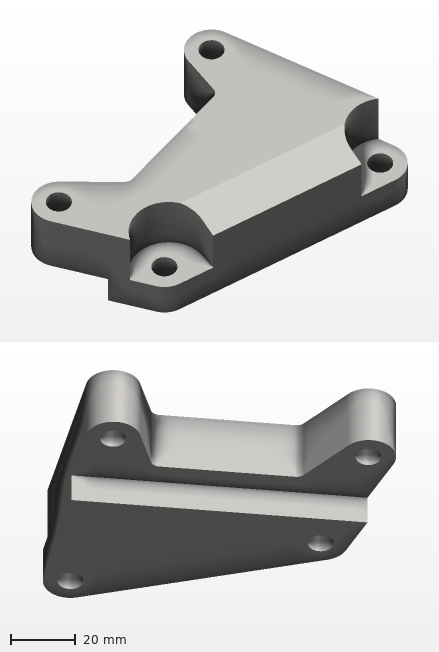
import cadquery as cq
import math

HEIGHT = 30.0
LUG_RADIUS = 8.5
HOLE_DIAMETER = 8.1
LOWER_HOLE = (0.0, 0.0)
UPPER_HOLE = (0.0, 79.9)
LEFT_HOLE = (-54.4, 53.0)
BOTTOM_HOLE = (-26.6, -21.7)

UPPER_CORNER = (-38.1, LEFT_HOLE[1] - LUG_RADIUS)
LOWER_CORNER = (-21.7, 1.2)
CORNER_FILLET = 3.0

UNDERCUT_HEIGHT = 9.7
UNDERCUT_DEPTH = 7.7

SEAT_HEIGHT = 11.6
SEAT_RADIUS = 12.5
SEAT_OFFSET = 2.5

BEVEL_START_X = -5.6
BEVEL_ANGLE = 15
MARGIN = 118.8


def direction(start, end):
    return math.atan2(end[1] - start[1], end[0] - start[0])


def on_lug(center, angle):
    """Point on a lug's rim at an angle in radians."""
    return (center[0] + LUG_RADIUS * math.cos(angle), center[1] + LUG_RADIUS * math.sin(angle))


def make_plate():
    top_normal = direction(LEFT_HOLE, UPPER_HOLE) + math.pi / 2
    bottom_normal = direction(BOTTOM_HOLE, LOWER_HOLE) - math.pi / 2
    corner_distance = math.dist(BOTTOM_HOLE, LOWER_CORNER)
    inner_normal = direction(BOTTOM_HOLE, LOWER_CORNER) + math.acos(LUG_RADIUS / corner_distance)

    plate = (
        cq.Workplane("XY")
        .moveTo(*on_lug(LOWER_HOLE, 0))
        .lineTo(*on_lug(UPPER_HOLE, 0))
        .threePointArc(on_lug(UPPER_HOLE, top_normal / 2), on_lug(UPPER_HOLE, top_normal))
        .lineTo(*on_lug(LEFT_HOLE, top_normal))
        .threePointArc(on_lug(LEFT_HOLE, math.pi), on_lug(LEFT_HOLE, -math.pi / 2))
        .lineTo(*UPPER_CORNER)
        .lineTo(*LOWER_CORNER)
        .lineTo(*on_lug(BOTTOM_HOLE, inner_normal))
        .threePointArc(on_lug(BOTTOM_HOLE, -math.pi / 2), on_lug(BOTTOM_HOLE, bottom_normal))
        .lineTo(*on_lug(LOWER_HOLE, bottom_normal))
        .threePointArc(on_lug(LOWER_HOLE, bottom_normal / 2), on_lug(LOWER_HOLE, 0))
        .close()
        .extrude(HEIGHT)
    )
    for x, y in (UPPER_CORNER, LOWER_CORNER):
        nearest = cq.selectors.NearestToPointSelector((x, y, HEIGHT / 2))
        plate = plate.edges("|Z").edges(nearest).fillet(CORNER_FILLET)
    return plate


def make_undercut():
    """Space under the lugs, bounded by a wall parallel to the inner wall."""
    wall = cq.Plane(
        origin=(*UPPER_CORNER, 0),
        xDir=(LOWER_CORNER[0] - UPPER_CORNER[0], LOWER_CORNER[1] - UPPER_CORNER[1], 0),
        normal=(0, 0, 1),
    )
    return (
        cq.Workplane(wall)
        .moveTo(0, UNDERCUT_DEPTH - MARGIN / 2)
        .rect(2 * MARGIN, MARGIN)
        .extrude(UNDERCUT_HEIGHT)
    )


def make_bevel():
    """Wedge above the sloping strip between the two right holes."""
    drop = MARGIN * math.tan(math.radians(BEVEL_ANGLE))
    return (
        cq.Workplane("XZ")
        .moveTo(BEVEL_START_X, HEIGHT)
        .lineTo(BEVEL_START_X + MARGIN, HEIGHT)
        .lineTo(BEVEL_START_X + MARGIN, HEIGHT - drop)
        .close()
        .extrude(LOWER_HOLE[1] - UPPER_HOLE[1])
    )


def make_seat(hole):
    """Round recess around a hole, open to the right."""
    floor = cq.Workplane("XY", origin=(hole[0] + SEAT_OFFSET, hole[1], SEAT_HEIGHT))
    depth = HEIGHT - SEAT_HEIGHT
    opening = floor.moveTo(MARGIN / 2, 0).rect(MARGIN, 2 * SEAT_RADIUS).extrude(depth)
    return floor.circle(SEAT_RADIUS).extrude(depth).union(opening)


result = make_plate().cut(make_undercut()).cut(make_bevel())
for seat_hole in (UPPER_HOLE, LOWER_HOLE):
    result = result.cut(make_seat(seat_hole))

holes = (
    cq.Workplane("XY")
    .pushPoints([LOWER_HOLE, UPPER_HOLE, LEFT_HOLE, BOTTOM_HOLE])
    .circle(HOLE_DIAMETER / 2)
    .extrude(HEIGHT)
)
result = result.cut(holes)